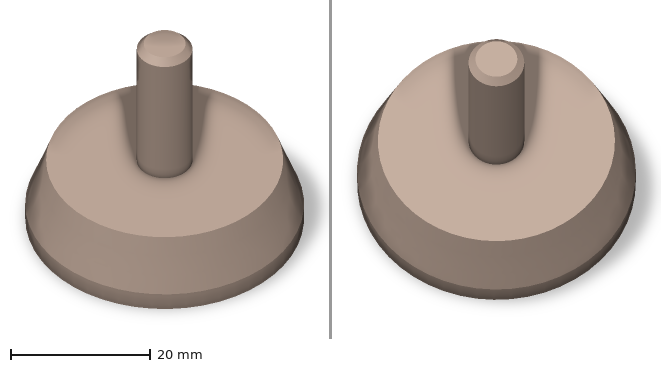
import cadquery as cq

base_diameter = 40.0
shoulder_diameter = 34.0
rim_height = 2.75
base_height = 11.0

stud_diameter = 8.0
stud_chamfer = 1.0
total_height = 33.0

base_radius = base_diameter / 2
shoulder_radius = shoulder_diameter / 2
stud_height = total_height - base_height

foot = (
    cq.Workplane("XZ")
    .moveTo(0, 0)
    .lineTo(base_radius, 0)
    .lineTo(base_radius, rim_height)
    .lineTo(shoulder_radius, base_height)
    .lineTo(0, base_height)
    .close()
    .revolve(360, (0, 0, 0), (0, 1, 0))
)

stud = (
    cq.Workplane("XY")
    .workplane(offset=base_height)
    .circle(stud_diameter / 2)
    .extrude(stud_height)
    .faces(">Z")
    .chamfer(stud_chamfer)
)

result = foot.union(stud)